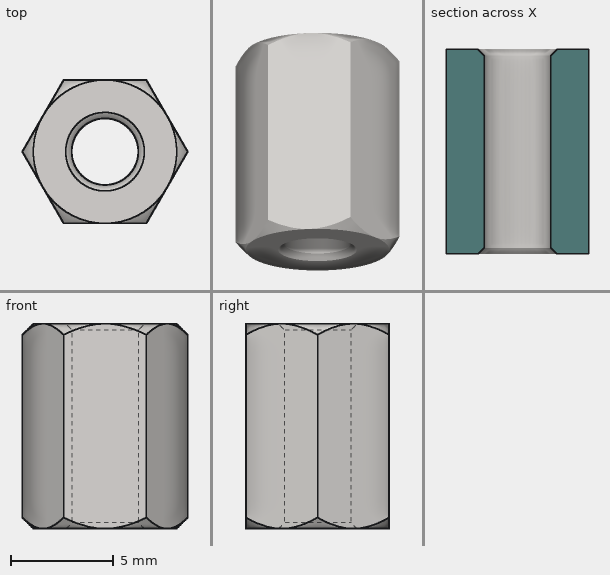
import cadquery as cq
import math

side_count = 6
across_flats = 7.0
height = 10.0
bore_diameter = 3.24
countersink_diameter = 3.84
countersink_angle = 90.0
end_chamfer_angle = 45.0

across_corners = across_flats / math.cos(math.pi / side_count)


def hex_prism():
    return cq.Workplane("XY").polygon(side_count, across_corners).extrude(height)


def round_body(end_radius, middle_radius, cone_height):
    """Full-height solid of revolution, with a cone at each end leading to a straight middle."""
    return (
        cq.Workplane("XZ")
        .lineTo(end_radius, 0)
        .lineTo(middle_radius, cone_height)
        .lineTo(middle_radius, height - cone_height)
        .lineTo(end_radius, height)
        .lineTo(0, height)
        .close()
        .revolve(360, (0, 0, 0), (0, 1, 0))
    )


def chamfer_envelope():
    """Round blank whose end cones start at the circle inscribed in the hexagon."""
    face_radius = across_flats / 2
    blank_radius = across_corners
    cone_height = (blank_radius - face_radius) * math.tan(math.radians(end_chamfer_angle))
    return round_body(face_radius, blank_radius, cone_height)


def countersunk_bore():
    """Through bore with the same countersink at both ends."""
    bore_radius = bore_diameter / 2
    sink_radius = countersink_diameter / 2
    sink_depth = (sink_radius - bore_radius) / math.tan(math.radians(countersink_angle / 2))
    return round_body(sink_radius, bore_radius, sink_depth)


result = hex_prism().intersect(chamfer_envelope()).cut(countersunk_bore())